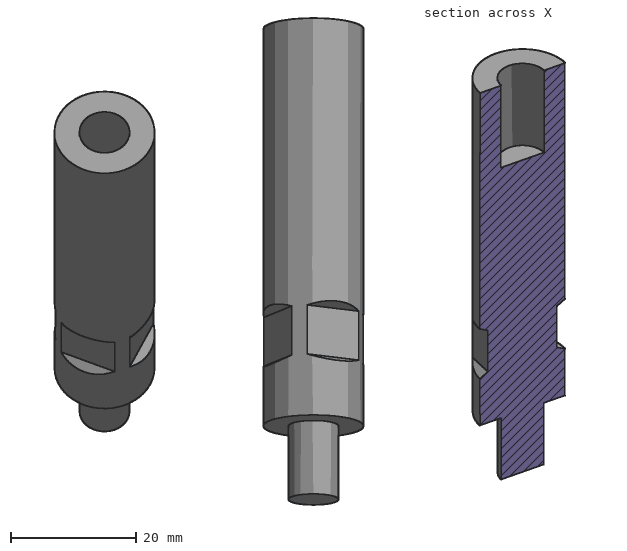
import cadquery as cq

total_length = 77.0
body_diameter = 16.0
stud_diameter = 8.0
stud_length = 12.0
bore_diameter = 8.0
bore_depth = 16.0
across_flats = 13.0
flat_bottom = 22.0
flat_top = 30.0
end_slope_rise = 0.85

body_radius = body_diameter / 2
flat_distance = across_flats / 2
body_length = total_length - stud_length


def make_shaft():
    """Round body standing on a thinner stud."""
    stud = cq.Workplane("XY").circle(stud_diameter / 2).extrude(stud_length)
    body = (
        cq.Workplane("XY")
        .workplane(offset=stud_length)
        .circle(body_radius)
        .extrude(body_length)
    )
    return stud.union(body)


def make_flat_cutter():
    """Trapezoidal prism that cuts one wrench flat with sloped ends on the +X side."""
    return (
        cq.Workplane("XZ")
        .moveTo(flat_distance, flat_bottom)
        .lineTo(body_radius, flat_bottom - end_slope_rise)
        .lineTo(body_radius, flat_top + end_slope_rise)
        .lineTo(flat_distance, flat_top)
        .close()
        .extrude(body_radius, both=True)
    )


def make_bore():
    """Blind bore sunk into the top face."""
    return (
        cq.Workplane("XY")
        .workplane(offset=total_length - bore_depth)
        .circle(bore_diameter / 2)
        .extrude(bore_depth)
    )


result = make_shaft().cut(make_bore())

for angle in (0, 90, 180, 270):
    cutter = make_flat_cutter().rotate((0, 0, 0), (0, 0, 1), angle)
    result = result.cut(cutter)